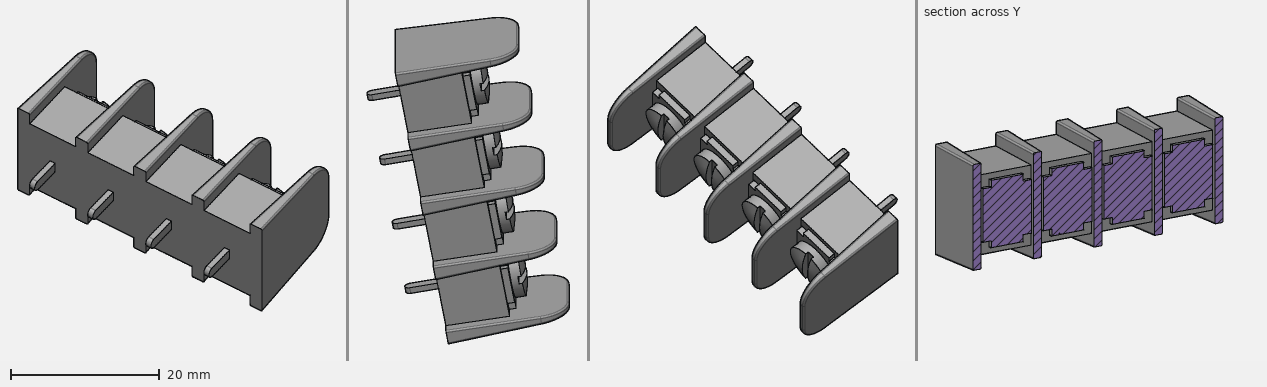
import cadquery as cq
import math

length = 40.15
pole_count = 4

rib_base_thickness = 2.0
rib_base_height = 15.75
rib_depth = 16.75
draft_angle = 2.0
rib_corner_radius = 4.0
rib_edge_radius = 0.25

block_height = 11.95
block_depth = 8.65

plate_width = 7.65
plate_tab_width = 5.1
plate_thickness = 0.95
plate_height = 7.65
plate_tab_height = 9.65

head_diameter = 7.15
head_side_height = 1.45
head_dome_height = 0.65
slot_width = 1.05
slot_depth = 1.1

pin_thickness = 0.85
pin_width = 1.6
pin_length = 4.85
pin_tip_rise = 0.7

pitch = (length - rib_base_thickness) / pole_count
first_rib_x = -(length - rib_base_thickness) / 2
rib_positions = [first_rib_x + i * pitch for i in range(pole_count + 1)]
pole_positions = [first_rib_x + (i + 0.5) * pitch for i in range(pole_count)]
plate_top = block_depth + plate_thickness
head_rim = plate_top + head_side_height
head_top = head_rim + head_dome_height


def slab(size_x, size_z, y_start, y_end):
    """Block centred on X and Z, running from y_start to y_end."""
    return cq.Workplane("XY").box(size_x, y_end - y_start, size_z).translate((0, (y_start + y_end) / 2, 0))


def drafted_block(size_x, size_z, depth):
    """Block rising from the mounting face to +Y, its four sides leaning in by the draft angle."""
    return cq.Workplane("XZ").rect(size_x, size_z).extrude(-depth, taper=draft_angle)


def barrier_rib():
    """Drafted dividing wall with rounded outer corners and softened edges."""
    rib = drafted_block(rib_base_thickness, rib_base_height, rib_depth)
    rib = rib.faces(">Y").edges("|X").fillet(rib_corner_radius)
    return rib.faces("<X or >X").edges("not <Y").fillet(rib_edge_radius)


def clamp_plate():
    """Wire clamp under the screw head, with a narrower tab above and below."""
    body = slab(plate_width, plate_height, block_depth, plate_top)
    tab = slab(plate_tab_width, plate_tab_height, block_depth, plate_top)
    return body.union(tab)


def screw_head():
    """Slotted screw head with a shallow domed top."""
    radius = head_diameter / 2
    dome_radius = (radius**2 + head_dome_height**2) / (2 * head_dome_height)
    dome_centre = head_top - dome_radius
    half_angle = math.asin(radius / dome_radius) / 2
    dome_middle = (
        dome_radius * math.sin(half_angle),
        dome_centre + dome_radius * math.cos(half_angle),
    )
    head = (
        cq.Workplane("XY")
        .moveTo(0, plate_top)
        .lineTo(radius, plate_top)
        .lineTo(radius, head_rim)
        .threePointArc(dome_middle, (0, head_top))
        .close()
        .revolve(360, (0, 0, 0), (0, 1, 0))
    )
    return head.cut(slab(slot_width, head_diameter, head_top - slot_depth, head_top))


def solder_pin():
    """Flat pin with a rounded tip, standing on the mounting face."""
    half_width = pin_width / 2
    shoulder = pin_tip_rise - pin_length
    return (
        cq.Workplane("YZ")
        .moveTo(0, -half_width)
        .lineTo(shoulder, -half_width)
        .threePointArc((-pin_length, 0), (shoulder, half_width))
        .lineTo(0, half_width)
        .close()
        .extrude(pin_thickness / 2, both=True)
    )


result = drafted_block(pole_count * pitch, block_height, block_depth)

rib = barrier_rib()
for x in rib_positions:
    result = result.union(rib.translate((x, 0, 0)))

pole = clamp_plate().union(screw_head())
pin = solder_pin()
for x in pole_positions:
    result = result.union(pole.translate((x, 0, 0))).union(pin.translate((x, 0, 0)))